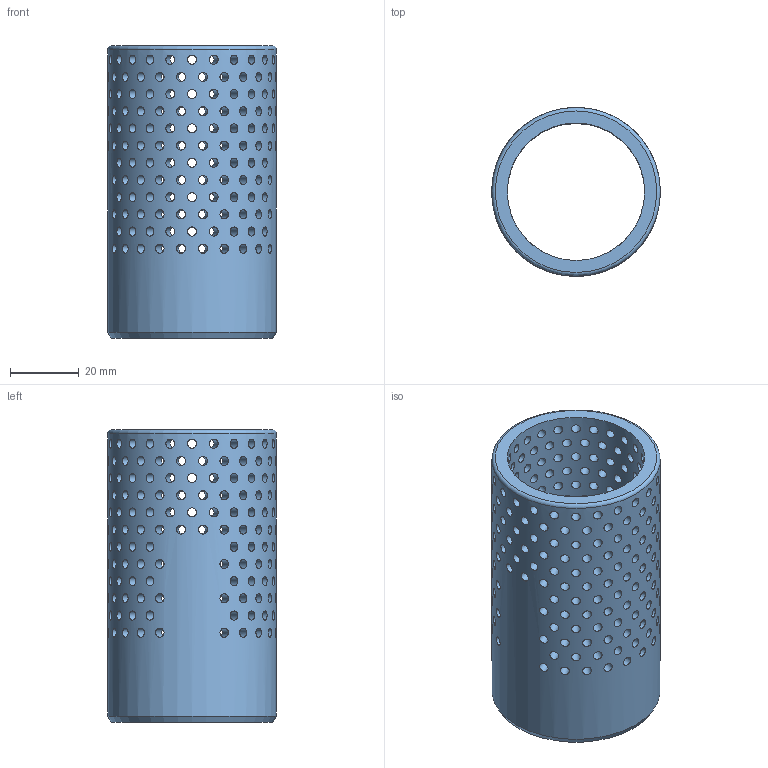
import cadquery as cq

OUTER_DIAMETER = 49.0
BORE_DIAMETER = 40.0
LENGTH = 85.0
TOP_FILLET = 1.0
BOTTOM_CHAMFER_WIDTH = 1.0
BOTTOM_CHAMFER_HEIGHT = 1.75

HOLE_DIAMETER = 2.65
HOLES_PER_ROW = 24
ROW_COUNT = 12
ROW_SPACING = 5.0
TOP_ROW_DEPTH = 4.0
HOLE_PITCH_ANGLE = 360.0 / HOLES_PER_ROW

FULL_ROW_COUNT = 6
PATCH_HALF_ANGLE = 1.25 * HOLE_PITCH_ANGLE

RADIAL_CLEARANCE = 1.0


def make_sleeve():
    """Plain tube with a rounded top rim and a lead-in chamfer at the bottom."""
    outer_radius = OUTER_DIAMETER / 2
    bottom_radius = outer_radius - BOTTOM_CHAMFER_WIDTH
    body = (
        cq.Workplane("XZ")
        .lineTo(bottom_radius, 0)
        .lineTo(outer_radius, BOTTOM_CHAMFER_HEIGHT)
        .lineTo(outer_radius, LENGTH)
        .lineTo(0, LENGTH)
        .close()
        .revolve(360, (0, 0, 0), (0, 1, 0))
        .faces(">Z")
        .edges()
        .fillet(TOP_FILLET)
    )
    bore = cq.Workplane("XY").circle(BORE_DIAMETER / 2).extrude(LENGTH)
    return body.cut(bore)


def in_plain_patch(row, angle):
    """True if a hole at this row and angle from +X lies in a plain patch."""
    angle_from_x_axis = min(angle % 180, -angle % 180)
    return row >= FULL_ROW_COUNT and angle_from_x_axis < PATCH_HALF_ANGLE


def make_hole(angle, height):
    """Radial cylinder crossing one wall of the sleeve."""
    start_radius = BORE_DIAMETER / 2 - RADIAL_CLEARANCE
    drill_length = (OUTER_DIAMETER - BORE_DIAMETER) / 2 + 2 * RADIAL_CLEARANCE
    hole = cq.Solid.makeCylinder(
        HOLE_DIAMETER / 2,
        drill_length,
        cq.Vector(start_radius, 0, height),
        cq.Vector(1, 0, 0),
    )
    return hole.rotate(cq.Vector(0, 0, 0), cq.Vector(0, 0, 1), angle)


def make_hole_pattern():
    """All radial holes, counted by row from the top."""
    holes = []
    for row in range(ROW_COUNT):
        height = LENGTH - TOP_ROW_DEPTH - row * ROW_SPACING
        row_turn = (row % 2) * HOLE_PITCH_ANGLE / 2
        for index in range(HOLES_PER_ROW):
            angle = row_turn + index * HOLE_PITCH_ANGLE
            if not in_plain_patch(row, angle):
                holes.append(make_hole(angle, height))
    return cq.Compound.makeCompound(holes)


result = make_sleeve().cut(cq.Workplane(obj=make_hole_pattern()))